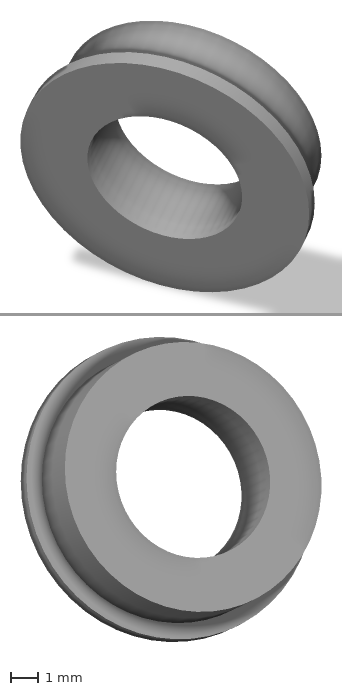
import cadquery as cq

flange_diameter = 11.2
flange_thickness = 0.6
body_diameter = 10.0
bore_diameter = 6.0
total_length = 3.0


def cylinder_along_y(diameter, length):
    """Solid cylinder on the Y axis, running from Y = 0 to Y = length."""
    return cq.Workplane("XZ").circle(diameter / 2).extrude(-length)


flange = cylinder_along_y(flange_diameter, flange_thickness)
body = cylinder_along_y(body_diameter, total_length)
bore = cylinder_along_y(bore_diameter, total_length)

result = flange.union(body).cut(bore)